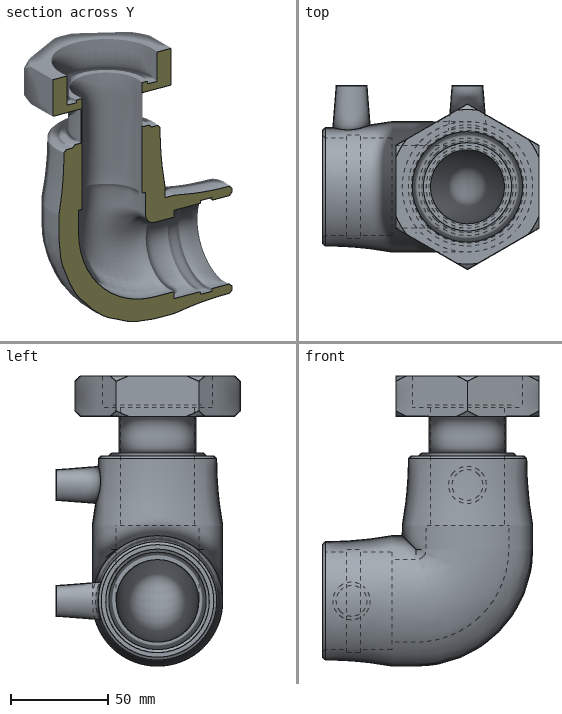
import cadquery as cq
import math

leg_length = 74.5
body_diameter = 67.0
bend_radius = 26.5
straight_end = 38.7
leg_end_diameter = 60.8
leg_end_chamfer = 1.5

bore_diameter = 42.4
socket_diameter = 50.0
socket_mouth_chamfer = 1.6
groove_diameter = 53.0
groove_start = 55.0
groove_end = 62.0

tail_bore_diameter = 38.0
neck_diameter = 39.66
collar_height = 1.5
collar_bevel_angle = 45.0
flange_diameter = 45.33
flange_height = 1.5

top_z = 115.5
nut_height = 20.7
nut_across_flats = 73.59
nut_bore_diameter = 56.66
nut_bore_depth = 16.3
nut_corner_chamfer = 2.8

pin_tip_y = 52.0
pin_root_y = 25.0
pin_tip_diameter = 15.8
pin_draft_angle = 4.5
pin_offset = 59.5

body_radius = body_diameter / 2
leg_end_radius = leg_end_diameter / 2
bore_radius = bore_diameter / 2
socket_radius = socket_diameter / 2
socket_floor = straight_end
nut_bottom_z = top_z - nut_height
nut_floor_z = top_z - nut_bore_depth
nut_corner_radius = nut_across_flats / math.sqrt(3)


def cylinder_z(diameter, bottom_z, upper_z):
    """Upright cylinder on the Z axis."""
    return cq.Workplane("XY", origin=(0, 0, bottom_z)).circle(diameter / 2).extrude(upper_z - bottom_z)


def lay_along_minus_x(shape):
    """Turn a shape built along +Z so that it points along -X."""
    return shape.rotate((0, 0, 0), (0, 1, 0), -90)


def leg_outside():
    """Solid upper leg: straight band, flare with an arc outline, bevelled end."""
    bevel_z = leg_length - leg_end_chamfer
    flare_length = bevel_z - straight_end
    flare_step = body_radius - leg_end_radius
    arc_radius = (flare_length**2 + flare_step**2) / (2 * flare_step)
    half_angle = math.asin(flare_length / arc_radius) / 2
    flare_middle = (
        leg_end_radius + arc_radius * (1 - math.cos(half_angle)),
        bevel_z - arc_radius * math.sin(half_angle),
    )
    return (
        cq.Workplane("XZ")
        .moveTo(0, bend_radius)
        .lineTo(body_radius, bend_radius)
        .lineTo(body_radius, straight_end)
        .threePointArc(flare_middle, (leg_end_radius, bevel_z))
        .lineTo(leg_end_radius - leg_end_chamfer, leg_length)
        .lineTo(0, leg_length)
        .close()
        .revolve(360, (0, 0), (0, 1))
    )


def quarter_bend(radius):
    """Round bend joining the legs; what would cross the bend axis is left off."""
    section = cq.Workplane("YZ", origin=(-bend_radius, 0, 0))
    if radius <= bend_radius:
        section = section.circle(radius)
    else:
        half_chord = math.sqrt(radius**2 - bend_radius**2)
        section = (
            section.moveTo(-half_chord, bend_radius)
            .threePointArc((0, -radius), (half_chord, bend_radius))
            .close()
        )
    return section.revolve(90, (0, bend_radius), (-1, bend_radius))


def elbow_bore():
    """Bend-through bore, running straight along both legs to the start of their flares."""
    straight = cylinder_z(bore_diameter, bend_radius, socket_floor)
    return quarter_bend(bore_radius).union(straight).union(lay_along_minus_x(straight))


def socket():
    """Open socket of the lower leg with a bevelled mouth and a groove in its wall."""
    mouth_radius = socket_radius + socket_mouth_chamfer
    profile = (
        cq.Workplane("XZ")
        .moveTo(0, socket_floor)
        .lineTo(socket_radius, socket_floor)
        .lineTo(socket_radius, leg_length - socket_mouth_chamfer)
        .lineTo(mouth_radius, leg_length)
        .lineTo(0, leg_length)
        .close()
        .revolve(360, (0, 0), (0, 1))
    )
    groove = cylinder_z(groove_diameter, groove_start, groove_end)
    return lay_along_minus_x(profile.union(groove))


def terminal_pin(x, z):
    """Tapered pin pointing along +Y, rooted inside the wall of the body."""
    tip = cq.Workplane("XZ", origin=(x, pin_tip_y, z)).circle(pin_tip_diameter / 2)
    return tip.extrude(pin_tip_y - pin_root_y, taper=-pin_draft_angle)


def tailpiece():
    """Bevelled collar, neck and flange up to the sealing face inside the nut."""
    flange_top = nut_floor_z + flange_height
    collar = cq.Workplane("XY", origin=(0, 0, leg_length)).circle(socket_radius)
    collar = collar.extrude(collar_height, taper=collar_bevel_angle)
    neck = cylinder_z(neck_diameter, leg_length, nut_floor_z)
    flange = cylinder_z(flange_diameter, nut_floor_z, flange_top)
    return collar.union(neck).union(flange)


def union_nut():
    """Hexagon nut with flats facing -X and +X and corners turned off at 45 degrees."""
    hexagon = (
        cq.Workplane("XY", origin=(0, 0, nut_bottom_z))
        .polygon(6, 2 * nut_corner_radius)
        .extrude(nut_height)
        .rotate((0, 0, 0), (0, 0, 1), 30)
    )
    turned_blank = cylinder_z(2 * nut_corner_radius, nut_bottom_z, top_z)
    turned_blank = turned_blank.faces("<Z or >Z").chamfer(nut_corner_chamfer)
    recess = cylinder_z(nut_bore_diameter, nut_floor_z, top_z)
    return hexagon.intersect(turned_blank).cut(recess)


upper_leg = leg_outside()
body = quarter_bend(body_radius).union(upper_leg).union(lay_along_minus_x(upper_leg))
for pin_x, pin_z in ((-pin_offset, 0), (0, pin_offset)):
    body = body.union(terminal_pin(pin_x, pin_z))
body = body.union(union_nut()).union(tailpiece())
body = body.cut(elbow_bore()).cut(socket())
result = body.cut(cylinder_z(tail_bore_diameter, socket_floor, top_z))